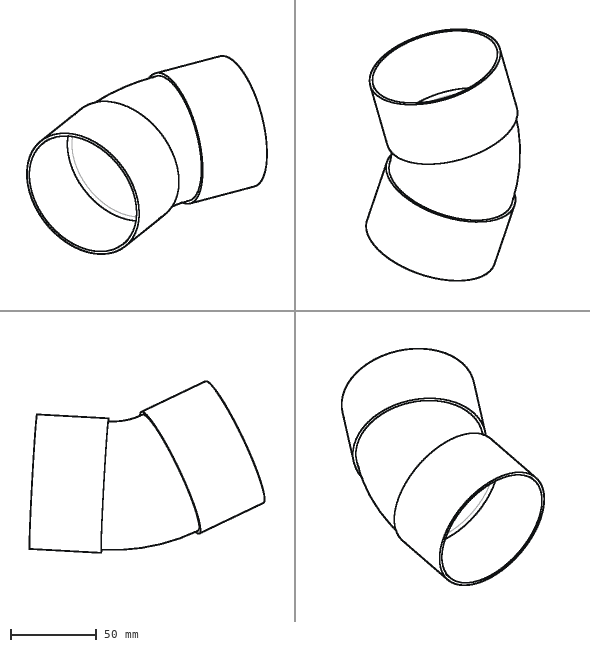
import cadquery as cq
import math

bend_angle = 30.0
bend_radius = 75.0
leg_length = 61.9
socket_diameter = 78.6
pipe_diameter = 75.0

pipe_radius = pipe_diameter / 2
wall = (socket_diameter - pipe_diameter) / 2
bore_radius = pipe_radius - wall
tangent_length = bend_radius * math.tan(math.radians(bend_angle / 2))
socket_length = leg_length - tangent_length
stop_radius = wall


def place_at_outlet(shape):
    """Carry a shape from the inlet end of the bend round to the outlet end."""
    flipped = shape.mirror("XZ")
    return flipped.rotate((bend_radius, 0, 0), (bend_radius, 0, 1), -bend_angle)


def make_bend(radius):
    """Solid circular bend that starts at the origin along +Y and curves toward +X."""
    section = cq.Workplane("XZ").circle(radius)
    return section.revolve(bend_angle, (bend_radius, 0, 0), (bend_radius, -1, 0))


def make_socket():
    """Solid outside of the inlet socket, from the start of the bend to the open end."""
    return cq.Workplane("XZ").circle(socket_diameter / 2).extrude(socket_length)


def make_socket_cavity():
    """Space inside the inlet socket, narrowing to the bend bore over a rounded stop."""
    arc_offset = stop_radius * math.sqrt(0.5)
    half_section = (
        cq.Workplane("XY")
        .moveTo(0, 0)
        .lineTo(0, -socket_length)
        .lineTo(pipe_radius, -socket_length)
        .lineTo(pipe_radius, -stop_radius)
        .threePointArc((pipe_radius - arc_offset, -arc_offset), (bore_radius, 0))
        .close()
    )
    return half_section.revolve(360, (0, 0, 0), (0, 1, 0))


socket = make_socket()
elbow = make_bend(pipe_radius).union(socket).union(place_at_outlet(socket))

cavity = make_socket_cavity()
elbow = elbow.cut(make_bend(bore_radius)).cut(cavity).cut(place_at_outlet(cavity))

result = elbow